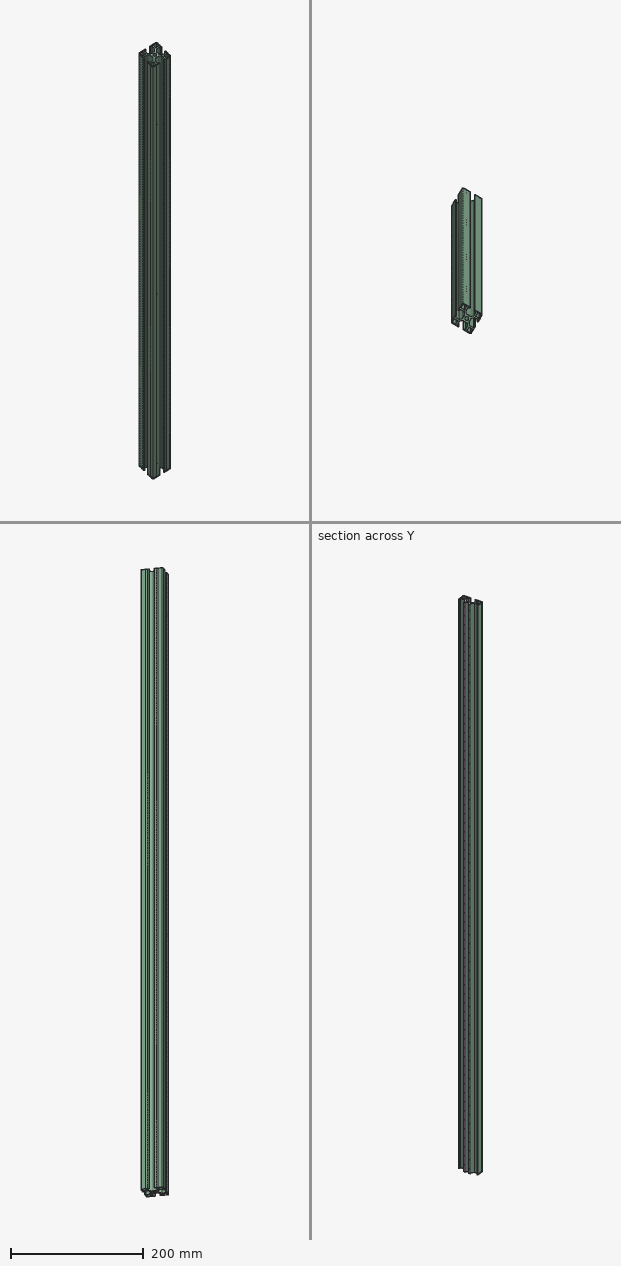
import cadquery as cq
import math

side = 35.0
length = 1000.0
corner_radius = 2.0

slot_width = 8.0
lip_thickness = 1.8
cavity_width = 14.0

core_radius = 6.0
bore_diameter = 5.7
web_thickness = 3.0
web_fillet_radius = 2.0

corner_wall = 1.5
hollow_size = 6.2

half_side = side / 2
sides = 4


def square_bar(width):
    """Full-length square bar centred on the Z axis."""
    return cq.Workplane("XY").rect(width, width).extrude(length)


def slot():
    """Cutter for the T-slot that opens toward +Y, ending on the round core, with filleted web feet."""
    opening = slot_width / 2
    cavity = cavity_width / 2
    lip_y = half_side - lip_thickness
    web_offset = web_thickness / math.sqrt(2)
    shoulder_y = cavity + web_offset
    foot_x = (math.sqrt(2 * core_radius**2 - web_offset**2) - web_offset) / 2
    foot_y = foot_x + web_offset
    cutter = (
        cq.Workplane("XY")
        .moveTo(opening, half_side)
        .lineTo(opening, lip_y)
        .lineTo(cavity, lip_y)
        .lineTo(cavity, shoulder_y)
        .lineTo(foot_x, foot_y)
        .threePointArc((0, core_radius), (-foot_x, foot_y))
        .lineTo(-cavity, shoulder_y)
        .lineTo(-cavity, lip_y)
        .lineTo(-opening, lip_y)
        .lineTo(-opening, half_side)
        .close()
        .extrude(length)
    )
    for x in (foot_x, -foot_x):
        foot = cq.selectors.NearestToPointSelector((x, foot_y, length / 2))
        cutter = cutter.edges("|Z").edges(foot).fillet(web_fillet_radius)
    return cutter


def corner_hollow():
    """Cutter for the square hollow in the (+X, +Y) corner."""
    center = half_side - corner_wall - hollow_size / 2
    return square_bar(hollow_size).translate((center, center, 0))


def bore():
    """Cutter for the round bore through the core."""
    return cq.Workplane("XY").circle(bore_diameter / 2).extrude(length)


profile = square_bar(side).edges("|Z").fillet(corner_radius).cut(bore())
for index in range(sides):
    turn = 360 / sides * index
    for cutter in (slot(), corner_hollow()):
        profile = profile.cut(cutter.rotate((0, 0, 0), (0, 0, 1), turn))

result = profile